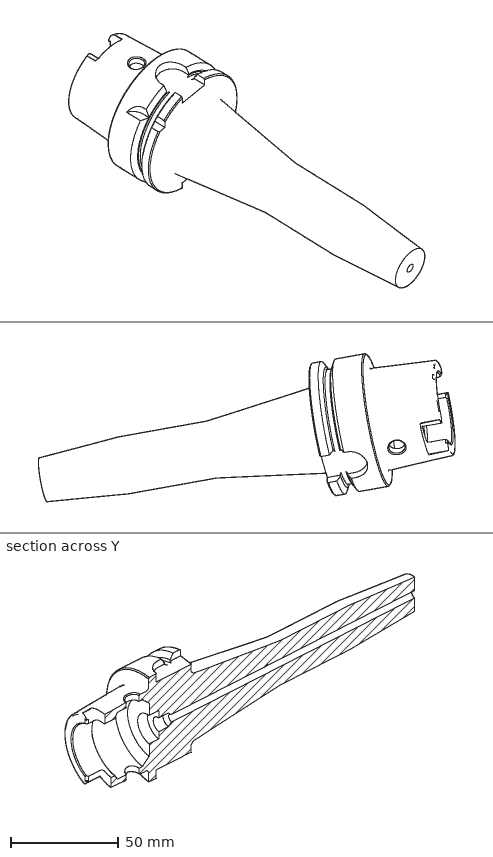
import cadquery as cq
import math


total_length = 192.0
flange_radius = 63.0 / 2

mouth_radius = 22.7
mouth_rounding = 0.8
taper_end_x = 29.5
taper_end_radius = 24.2
neck_radius = 24.0
neck_start_x = 30.5
neck_fillet = 1.3

flange_start_x = 32.0
flange_end_x = 58.0
flange_edge_chamfer = 0.5
groove_center_x = 50.0
groove_mouth_width = 7.0
groove_floor_width = 3.5
groove_floor_radius = 27.3
groove_floor_fillet = 0.5
groove_flank_angle = 30.0

shank_fillet = 2.7
shank_cone_start_x = 60.3
shank_cone_start_radius = 20.4
shank_cylinder_start_x = 111.5
shank_cylinder_end_x = 153.8
shank_radius = 27.0 / 2
tip_radius = 21.0 / 2

bore_radius = 34.0 / 2
bore_mouth_chamfer = 0.5
bore_end_x = 12.0
clamp_radius = 40.0 / 2
clamp_cone_angle = 60.0
cavity_floor_x = 32.6
cavity_floor_radius = 16.0
thread_radius = 16.9 / 2
thread_depth = 5.8
coolant_radius = 8.0 / 2
coolant_depth = 5.8
coolant_cone_length = 2.0
through_radius = 4.2 / 2

drive_slot_half_width = 6.1
drive_slot_depth_top = 6.0
drive_slot_depth_bottom = 9.8
drive_slot_straight_height = 18.5
drive_slot_edge_radius = 2.3
drive_slot_floor_fillet = 1.2
drive_slot_mouth_chamfer = 1.2

cross_hole_x = 22.8
cross_hole_diameter = 7.5
cross_hole_chamfer = 0.5

pocket_radius = 7.9
pocket_center_x = 45.0
gripper_flat_height = 26.5
notch_floor_z = 19.8
notch_wall_y = -20.4


def revolve_about_x(profile):
    return profile.close().revolve(360, (0, 0, 0), (1, 0, 0))


def outer_body():
    """Taper, neck, flange, fillet and shank as one turned solid."""
    flank_run = (groove_mouth_width - groove_floor_width) / 2
    flank_radius = flange_radius - flank_run / math.tan(math.radians(groove_flank_angle))
    groove_mouth_half = groove_mouth_width / 2
    groove_floor_half = groove_floor_width / 2
    groove_flat_half = groove_floor_half - groove_floor_fillet
    groove_wall_radius = groove_floor_radius + groove_floor_fillet
    edge_radius = flange_radius - flange_edge_chamfer

    cone_drop = shank_cone_start_radius - shank_radius
    cone_angle = math.atan2(cone_drop, shank_cylinder_start_x - shank_cone_start_x)
    fillet_x = shank_cone_start_x + shank_fillet * math.sin(cone_angle)
    fillet_r = shank_cone_start_radius + shank_fillet * math.cos(cone_angle)
    face_angle = math.acos((fillet_x - flange_end_x) / shank_fillet)
    fillet_foot_radius = fillet_r - shank_fillet * math.sin(face_angle)
    middle_angle = (face_angle + math.pi / 2 + cone_angle) / 2
    fillet_middle = (
        fillet_x - shank_fillet * math.cos(middle_angle),
        fillet_r - shank_fillet * math.sin(middle_angle),
    )

    profile = (
        cq.Workplane("XY")
        .moveTo(0, 0)
        .lineTo(0, mouth_radius - mouth_rounding)
        .radiusArc((mouth_rounding, mouth_radius), mouth_rounding)
        .lineTo(taper_end_x, taper_end_radius)
        .lineTo(neck_start_x, neck_radius)
        .lineTo(flange_start_x - neck_fillet, neck_radius)
        .radiusArc((flange_start_x, neck_radius + neck_fillet), -neck_fillet)
        .lineTo(flange_start_x, edge_radius)
        .lineTo(flange_start_x + flange_edge_chamfer, flange_radius)
        .lineTo(groove_center_x - groove_mouth_half, flange_radius)
        .lineTo(groove_center_x - groove_floor_half, flank_radius)
        .lineTo(groove_center_x - groove_floor_half, groove_wall_radius)
        .radiusArc((groove_center_x - groove_flat_half, groove_floor_radius), -groove_floor_fillet)
        .lineTo(groove_center_x + groove_flat_half, groove_floor_radius)
        .radiusArc((groove_center_x + groove_floor_half, groove_wall_radius), -groove_floor_fillet)
        .lineTo(groove_center_x + groove_floor_half, flank_radius)
        .lineTo(groove_center_x + groove_mouth_half, flange_radius)
        .lineTo(flange_end_x - flange_edge_chamfer, flange_radius)
        .lineTo(flange_end_x, edge_radius)
        .lineTo(flange_end_x, fillet_foot_radius)
        .threePointArc(fillet_middle, (shank_cone_start_x, shank_cone_start_radius))
        .lineTo(shank_cylinder_start_x, shank_radius)
        .lineTo(shank_cylinder_end_x, shank_radius)
        .lineTo(total_length, tip_radius)
        .lineTo(total_length, 0)
    )
    return revolve_about_x(profile)


def inner_cavity():
    """Clamping cavity, threaded seat, coolant bore and the fine through hole."""
    clamp_start_x = bore_end_x + (clamp_radius - bore_radius) / math.tan(math.radians(clamp_cone_angle))
    floor_corner = clamp_radius - cavity_floor_radius
    thread_end_x = cavity_floor_x + thread_depth
    coolant_end_x = thread_end_x + coolant_depth
    profile = (
        cq.Workplane("XY")
        .moveTo(0, 0)
        .lineTo(0, bore_radius + bore_mouth_chamfer)
        .lineTo(bore_mouth_chamfer, bore_radius)
        .lineTo(bore_end_x, bore_radius)
        .lineTo(clamp_start_x, clamp_radius)
        .lineTo(cavity_floor_x - floor_corner, clamp_radius)
        .lineTo(cavity_floor_x, cavity_floor_radius)
        .lineTo(cavity_floor_x, thread_radius)
        .lineTo(thread_end_x, thread_radius)
        .lineTo(thread_end_x, coolant_radius)
        .lineTo(coolant_end_x, coolant_radius)
        .lineTo(coolant_end_x + coolant_cone_length, through_radius)
        .lineTo(total_length, through_radius)
        .lineTo(total_length, 0)
    )
    return revolve_about_x(profile)


def drive_slot(depth):
    """Upper drive slot: rounded outer edges, filleted floor and chamfered mouth."""
    arc_y = drive_slot_half_width + drive_slot_edge_radius
    arc_z = drive_slot_straight_height
    tangent_angle = math.atan2(arc_z, arc_y)
    middle_angle = (tangent_angle + math.pi) / 2
    arc_end = (
        arc_y + drive_slot_edge_radius * math.cos(tangent_angle),
        arc_z + drive_slot_edge_radius * math.sin(tangent_angle),
    )
    arc_middle = (
        arc_y + drive_slot_edge_radius * math.cos(middle_angle),
        arc_z + drive_slot_edge_radius * math.sin(middle_angle),
    )
    exit_y = arc_end[0]
    exit_z = flange_radius

    slot = (
        cq.Workplane("YZ")
        .moveTo(-drive_slot_half_width, 0)
        .lineTo(-drive_slot_half_width, arc_z)
        .threePointArc((-arc_middle[0], arc_middle[1]), (-arc_end[0], arc_end[1]))
        .lineTo(-exit_y, exit_z)
        .lineTo(exit_y, exit_z)
        .lineTo(*arc_end)
        .threePointArc(arc_middle, (drive_slot_half_width, arc_z))
        .lineTo(drive_slot_half_width, 0)
        .close()
        .extrude(depth)
    )
    floor_edges = cq.selectors.BoxSelector((depth / 2, -exit_y, arc_z / 4), (2 * depth, exit_y, arc_end[1]))
    slot = slot.faces(">X").edges(floor_edges).fillet(drive_slot_floor_fillet)

    mouth_half_width = drive_slot_half_width + drive_slot_mouth_chamfer
    mouth_chamfer = (
        cq.Workplane("XY")
        .moveTo(0, -mouth_half_width)
        .lineTo(drive_slot_mouth_chamfer, -drive_slot_half_width)
        .lineTo(drive_slot_mouth_chamfer, drive_slot_half_width)
        .lineTo(0, mouth_half_width)
        .close()
        .extrude(drive_slot_straight_height)
    )
    return slot.union(mouth_chamfer)


def flange_pocket(wall_y, floor_z):
    """Round-ended pocket, open at the top and at the back of the flange, with its +Y wall at wall_y."""
    center_y = wall_y - pocket_radius
    far_wall_y = center_y - pocket_radius
    return (
        cq.Workplane("XY", origin=(0, 0, floor_z))
        .moveTo(flange_end_x, wall_y)
        .lineTo(pocket_center_x, wall_y)
        .threePointArc((pocket_center_x - pocket_radius, center_y), (pocket_center_x, far_wall_y))
        .lineTo(flange_end_x, far_wall_y)
        .close()
        .extrude(flange_radius - floor_z)
    )


def turned_over(shape):
    return shape.rotate((0, 0, 0), (1, 0, 0), 180)


def with_cross_hole(body):
    """Drill straight through both taper walls and chamfer the two outer rims."""
    hole = cq.Workplane("XY").center(cross_hole_x, 0).circle(cross_hole_diameter / 2)
    drilled = body.cut(hole.extrude(flange_radius, both=True))
    inner_z = bore_radius
    outer_z = flange_radius
    front_x = cross_hole_x - cross_hole_diameter / 2
    back_x = cross_hole_x + cross_hole_diameter / 2
    for side in (-1, 1):
        rim = cq.selectors.BoxSelector(
            (front_x, -cross_hole_diameter, side * inner_z), (back_x, cross_hole_diameter, side * outer_z)
        )
        drilled = drilled.edges(rim).chamfer(cross_hole_chamfer)
    return drilled


holder = with_cross_hole(outer_body()).cut(inner_cavity())

holder = holder.cut(drive_slot(drive_slot_depth_top))
holder = holder.cut(turned_over(drive_slot(drive_slot_depth_bottom)))

gripper_pocket = flange_pocket(pocket_radius, gripper_flat_height)
holder = holder.cut(gripper_pocket).cut(turned_over(gripper_pocket))

orientation_notch = flange_pocket(notch_wall_y, notch_floor_z)
holder = holder.cut(orientation_notch)

result = cq.Workplane(holder.solids().val())